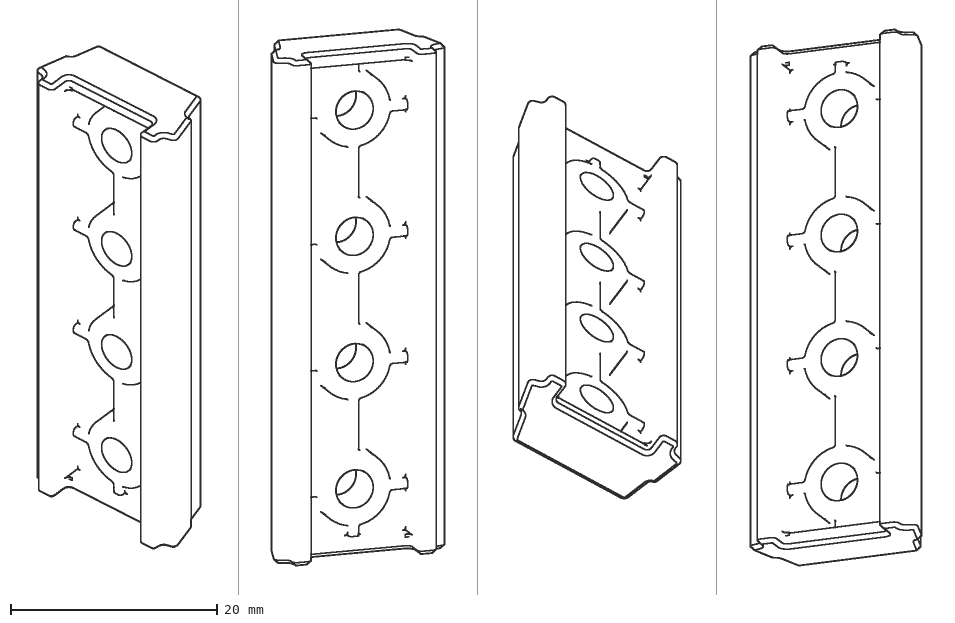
import cadquery as cq
import math

LENGTH = 50.8
DEPTH = 8.4
WIDTH = 17.45
END_CHAMFER = 0.4

FLARE_ANGLE = math.radians(15.0)
BACK_HALF_WIDTH = 6.5
STEP_DEPTH = 3.1
STEP_LENGTH = 0.2
FLANK_CENTER_DEPTH = 6.45
LEG_OUTER = 7.4
BACK_RADIUS = 0.6
STEP_RADIUS = 0.4
FLANK_RADIUS = 0.5
SHOULDER_RADIUS = 0.6
TIP_RADIUS = 0.5

CHANNEL_WIDTH = 10.85
CHANNEL_DEPTH = 5.95
CHANNEL_RADIUS = 0.5
RIM_WIDTH = 1.55
FLOOR_DEPTH = 1.55

BOSS_COUNT = 4
BOSS_PITCH = LENGTH / BOSS_COUNT
BOSS_RADIUS = 3.75
BOSS_DEPTH = 5.15
BORE_DIAMETER = 3.8
RIB_WIDTH = 1.0
EDGE_RADIUS = 0.3

FRONT = -DEPTH / 2
BACK = DEPTH / 2
LEG_INNER = CHANNEL_WIDTH / 2
POCKET_LENGTH = LENGTH - 2 * RIM_WIDTH
BOSS_HEIGHTS = [(i - (BOSS_COUNT - 1) / 2) * BOSS_PITCH for i in range(BOSS_COUNT)]

OVERSHOOT = 0.5
MARGIN = 0.05


def from_back(depth):
    """Y coordinate of a plane at a given depth from the back face."""
    return BACK - depth


def edge_picker(center_x, center_z, half_x, half_z):
    """Selector for full-depth edges whose centres lie in a rectangle of the XZ plane."""
    return cq.selectors.BoxSelector(
        (center_x - half_x, FRONT, center_z - half_z),
        (center_x + half_x, BACK, center_z + half_z),
    )


def depth_box(width, length, near_depth, far_depth):
    """Box centred in X and Z, filling the space between two depths."""
    box = cq.Workplane("XY").box(width, far_depth - near_depth, length)
    return box.translate((0, from_back((near_depth + far_depth) / 2), 0))


def profile_corners():
    """Sharp corners of the right half as (x, depth, corner radius), from back to channel."""
    slope = math.tan(FLARE_ANGLE)
    flank_center_x = WIDTH / 2 - FLANK_RADIUS
    flank_x = flank_center_x + FLANK_RADIUS * (math.cos(FLARE_ANGLE) + math.sin(FLARE_ANGLE))
    flank_depth = FLANK_CENTER_DEPTH + FLANK_RADIUS * (math.cos(FLARE_ANGLE) - math.sin(FLARE_ANGLE))
    step_end = STEP_DEPTH + STEP_LENGTH
    return [
        (BACK_HALF_WIDTH, 0, BACK_RADIUS),
        (BACK_HALF_WIDTH + STEP_DEPTH * slope, STEP_DEPTH, STEP_RADIUS),
        (flank_x - (flank_depth - step_end) * slope, step_end, STEP_RADIUS),
        (flank_x, flank_depth, FLANK_RADIUS),
        (LEG_OUTER, flank_depth + (flank_x - LEG_OUTER) * slope, SHOULDER_RADIUS),
        (LEG_OUTER, DEPTH, TIP_RADIUS),
        (LEG_INNER, DEPTH, TIP_RADIUS),
        (LEG_INNER, CHANNEL_DEPTH, CHANNEL_RADIUS),
    ]


def make_rail():
    """Mirrored profile along Z with every long edge rounded and both ends chamfered."""
    corners = profile_corners()
    right = [(x, from_back(depth)) for x, depth, _ in corners]
    left = [(-x, y) for x, y in reversed(right)]
    rail = cq.Workplane("XY").polyline(right + left).close().extrude(LENGTH / 2, both=True)
    for x, depth, radius in corners:
        y = from_back(depth)
        for side in (-x, x):
            corner = cq.selectors.BoxSelector(
                (side - MARGIN, y - MARGIN, -LENGTH), (side + MARGIN, y + MARGIN, LENGTH)
            )
            rail = rail.edges("|Z").edges(corner).fillet(radius)
    return rail.faces("<Z or >Z").chamfer(END_CHAMFER)


def make_islands():
    """Bosses on a spine rib, each with a cross rib; joints and front edges are rounded."""
    islands = depth_box(RIB_WIDTH, LENGTH, FLOOR_DEPTH, BOSS_DEPTH)
    cross_rib = depth_box(CHANNEL_WIDTH + 2 * OVERSHOOT, RIB_WIDTH, FLOOR_DEPTH, BOSS_DEPTH)
    boss = (
        cq.Workplane("XZ", origin=(0, from_back(FLOOR_DEPTH), 0))
        .circle(BOSS_RADIUS)
        .extrude(BOSS_DEPTH - FLOOR_DEPTH)
    )
    for height in BOSS_HEIGHTS:
        islands = islands.union(cross_rib.translate((0, 0, height)))
        islands = islands.union(boss.translate((0, 0, height)))
    for height in BOSS_HEIGHTS:
        joints = edge_picker(0, height, BOSS_RADIUS, BOSS_RADIUS)
        islands = islands.edges("|Y").edges(joints).fillet(EDGE_RADIUS)
    return islands.faces("<Y").edges().fillet(EDGE_RADIUS)


def make_rim_opening():
    """Shallow cut over the whole pocket that rounds the inner edge of both end rims."""
    start_depth = CHANNEL_DEPTH - EDGE_RADIUS
    opening_length = POCKET_LENGTH + 2 * EDGE_RADIUS
    opening = depth_box(CHANNEL_WIDTH, opening_length, start_depth, CHANNEL_DEPTH)
    for end_z in (-opening_length / 2, opening_length / 2):
        rounding = (
            cq.Workplane("YZ", origin=(-LEG_INNER, from_back(start_depth), end_z))
            .circle(EDGE_RADIUS)
            .extrude(CHANNEL_WIDTH)
        )
        opening = opening.cut(rounding)
    return opening


def make_pocket():
    """Space to remove around the bosses and ribs, rounded along its floor and wall corners."""
    islands = make_islands()
    corner_top = BOSS_DEPTH - 2 * EDGE_RADIUS
    lower = depth_box(CHANNEL_WIDTH, POCKET_LENGTH, FLOOR_DEPTH, corner_top).cut(islands)
    for side in (-1, 1):
        side_wall = edge_picker(side * LEG_INNER, 0, MARGIN, LENGTH)
        lower = lower.edges("|Y").edges(side_wall).fillet(EDGE_RADIUS)
        spine_end = edge_picker(0, side * POCKET_LENGTH / 2, RIB_WIDTH, MARGIN)
        lower = lower.edges("|Y").edges(spine_end).fillet(EDGE_RADIUS)
    lower = lower.faces(">Y").edges().fillet(EDGE_RADIUS)

    upper_end = CHANNEL_DEPTH + CHANNEL_RADIUS
    upper = depth_box(CHANNEL_WIDTH, POCKET_LENGTH, corner_top, upper_end).cut(islands)
    return lower.union(upper).union(make_rim_opening())


def make_bores():
    """Through holes, one on the axis of each boss."""
    centers = [(0, height) for height in BOSS_HEIGHTS]
    return (
        cq.Workplane("XZ", origin=(0, BACK, 0))
        .pushPoints(centers)
        .circle(BORE_DIAMETER / 2)
        .extrude(DEPTH)
    )


result = make_rail().cut(make_pocket()).cut(make_bores())